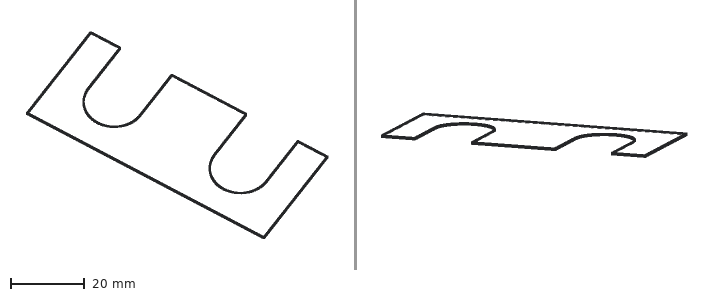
import cadquery as cq

length = 76.2
width = 31.8
thickness = 0.4

slot_width = 16.6
slot_depth = 24.15
slot_spacing = 40.6

slot_radius = slot_width / 2
back_edge = width / 2
arc_center_y = back_edge - slot_depth + slot_radius


def slot_cutter(center_x):
    """Solid filling one U-shaped slot through the plate."""
    left = center_x - slot_radius
    right = center_x + slot_radius
    return (
        cq.Workplane("XY")
        .moveTo(left, back_edge)
        .lineTo(left, arc_center_y)
        .threePointArc((center_x, back_edge - slot_depth), (right, arc_center_y))
        .lineTo(right, back_edge)
        .close()
        .extrude(thickness)
    )


result = cq.Workplane("XY").box(length, width, thickness, centered=(True, True, False))
for side in (-1, 1):
    result = result.cut(slot_cutter(side * slot_spacing / 2))